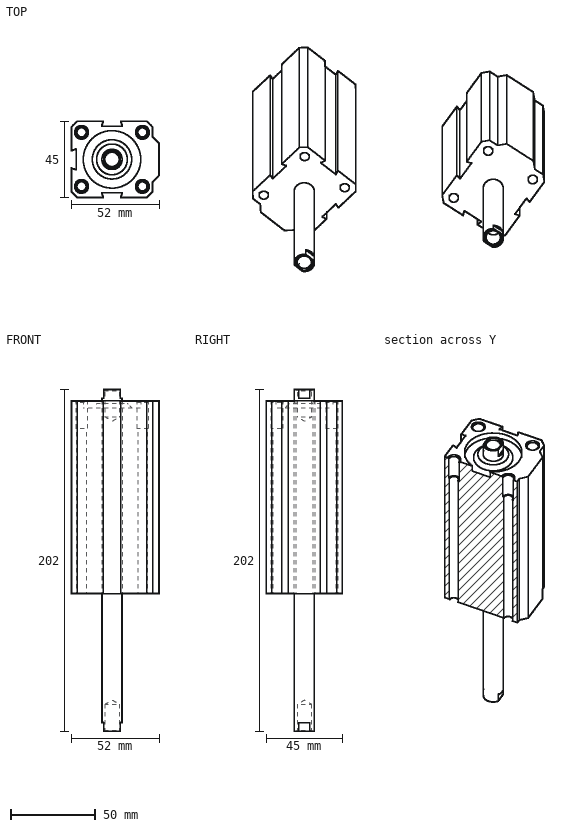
import cadquery as cq
import math

total_length = 202.0
body_length = 113.7
top_stub_length = 6.9
rod_top = body_length + top_stub_length
rod_bottom = rod_top - total_length

body_half_x = 24.0
overall_y = 45.0
body_half_y = overall_y / 2
overall_x = 52.0
corner_chamfer = 3.5
rail_right = overall_x - body_half_x
rail_half_width = 13.3
rail_chamfer = rail_right - body_half_x

slot_opening = 10.0
slot_base = 12.1
slot_depth = 2.8

recess_diameter = 34.0
recess_depth = 4.0
collar_base_diameter = 23.2
collar_top_diameter = 18.2
collar_height = (collar_base_diameter - collar_top_diameter) / 2

mount_x = 18.0
mount_y = 16.0
mount_through_diameter = 5.5
mount_tap_diameter = 6.7
mount_rim_diameter = 8.0
mount_tap_depth = 16.2

rod_diameter = 12.0
across_flats = 9.9
flat_length = 5.3
rod_hole_diameter = 8.5
rod_hole_rim_diameter = 10.0
rod_hole_depth = 16.2
drill_tip_angle = 118.0


def make_body():
    block = (
        cq.Workplane("XY")
        .rect(2 * body_half_x, 2 * body_half_y)
        .extrude(body_length)
        .edges("|Z")
        .chamfer(corner_chamfer)
    )
    rail_tip = rail_half_width - rail_chamfer
    rail = (
        cq.Workplane("XY")
        .polyline([
            (0, -rail_half_width),
            (body_half_x, -rail_half_width),
            (rail_right, -rail_tip),
            (rail_right, rail_tip),
            (body_half_x, rail_half_width),
            (0, rail_half_width),
        ])
        .close()
        .extrude(body_length)
    )
    return block.union(rail)


def dovetail_slot(face_distance, angle):
    """Slot open towards +Y at face_distance, then turned about Z."""
    floor = face_distance - slot_depth
    return (
        cq.Workplane("XY")
        .polyline([
            (-slot_opening / 2, face_distance),
            (-slot_base / 2, floor),
            (slot_base / 2, floor),
            (slot_opening / 2, face_distance),
        ])
        .close()
        .extrude(body_length)
        .rotate((0, 0, 0), (0, 0, 1), angle)
    )


def revolve_profile(points):
    """Turn a profile of (radius, height) points about the Z axis."""
    return cq.Workplane("XZ").polyline(points).close().revolve(360, (0, 0), (0, 1))


def make_recess():
    return (
        cq.Workplane("XY", origin=(0, 0, body_length - recess_depth))
        .circle(recess_diameter / 2)
        .extrude(recess_depth)
    )


def make_collar():
    floor = body_length - recess_depth
    return revolve_profile([
        (0, floor),
        (collar_base_diameter / 2, floor),
        (collar_top_diameter / 2, floor + collar_height),
        (0, floor + collar_height),
    ])


def mounting_hole():
    through_radius = mount_through_diameter / 2
    tap_radius = mount_tap_diameter / 2
    rim_radius = mount_rim_diameter / 2
    tap_bottom = body_length - mount_tap_depth
    return revolve_profile([
        (0, 0),
        (through_radius, 0),
        (through_radius, tap_bottom),
        (tap_radius, tap_bottom),
        (tap_radius, body_length - (rim_radius - tap_radius)),
        (rim_radius, body_length),
        (0, body_length),
    ])


def rod_end_cut():
    """Flats and tapped hole for a rod end at the top of the part."""
    hole_radius = rod_hole_diameter / 2
    rim_radius = rod_hole_rim_diameter / 2
    hole_bottom = rod_top - rod_hole_depth
    tip_depth = hole_radius / math.tan(math.radians(drill_tip_angle / 2))
    end_cut = revolve_profile([
        (0, hole_bottom - tip_depth),
        (hole_radius, hole_bottom),
        (hole_radius, rod_top - (rim_radius - hole_radius)),
        (rim_radius, rod_top),
        (0, rod_top),
    ])
    flat_center = (across_flats + rod_diameter) / 2
    for side in (-1, 1):
        flat = (
            cq.Workplane("XY", origin=(side * flat_center, 0, rod_top - flat_length))
            .rect(rod_diameter, 2 * rod_diameter)
            .extrude(flat_length)
        )
        end_cut = end_cut.union(flat)
    return end_cut


def make_rod():
    rod = (
        cq.Workplane("XY", origin=(0, 0, rod_bottom))
        .circle(rod_diameter / 2)
        .extrude(total_length)
    )
    end_cut = rod_end_cut()
    rod_middle = (rod_top + rod_bottom) / 2
    return rod.cut(end_cut).cut(end_cut.mirror("XY", (0, 0, rod_middle)))


body = make_body()
for face_distance, angle in [(body_half_y, 0), (body_half_x, 90), (body_half_y, 180)]:
    body = body.cut(dovetail_slot(face_distance, angle))
body = body.cut(make_recess()).union(make_collar())
for x in (-mount_x, mount_x):
    for y in (-mount_y, mount_y):
        body = body.cut(mounting_hole().translate((x, y, 0)))

rod_passage = (
    cq.Workplane("XY")
    .circle(rod_diameter / 2)
    .extrude(body_length)
)
result = body.cut(rod_passage).union(make_rod())